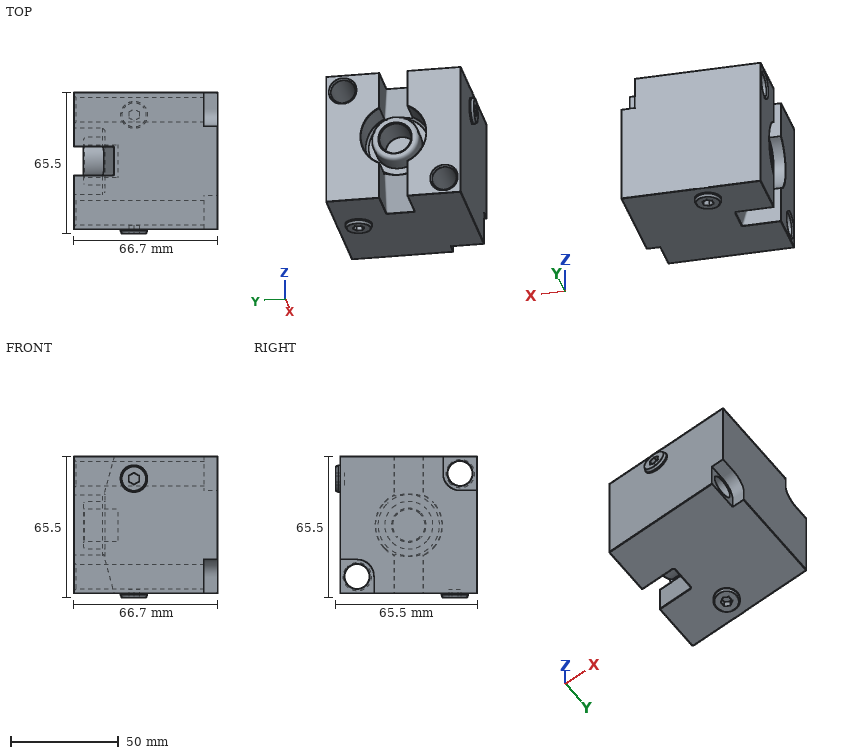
import cadquery as cq
import math

LENGTH = 66.67
SIDE = 63.5
HALF = SIDE / 2
EDGE_BEVEL = 0.2
OUTER_FACES = "<X or >X or <Y or >Y or <Z or >Z"

BORE_RADIUS = 15.4
BORE_DEPTH = 14.3
BORE_FLOOR_CHAMFER = 1.2
BOSS_RADIUS = 11.1
BOSS_TOP_X = 4.3
BOSS_FILLET = 1.5
BOSS_HOLE_RADIUS = 7.45
BOSS_HOLE_DEPTH = 16.0
BOSS_HOLE_CHAMFER = 0.5

SLOT_WIDTH = 13.2
SLOT_END_DEPTH = 18.6
SLOT_BORE_DEPTH = 13.9
SLOT_BORE_Z = 14.5
SLOT_FLOOR_FILLET = 0.8

MOUNT_INSET = 7.88
MOUNT_HOLE_RADIUS = 5.75
MOUNT_HOLE_CHAMFER = 0.8
NOTCH_RADIUS = 7.88
NOTCH_DEPTH = 6.5

PLUG_X = 27.8
PLUG_INSET = 10.3
PLUG_OFFSET = HALF - PLUG_INSET
PLUG_RADIUS = 10.7
PLUG_THICKNESS = EDGE_BEVEL
HEAD_RADIUS = 6.25
HEAD_HEIGHT = 2.03
HEAD_RIM_HEIGHT = 0.7
HEAD_TOP_RADIUS = 5.6
SOCKET_SIDES = 6
SOCKET_FLATS = 4.76
SOCKET_DEPTH = 4.0


def make_box():
    """The full rectangular envelope of the block."""
    return cq.Workplane("XY").box(LENGTH, SIDE, SIDE, centered=(False, True, True))


def cylinder_along_x(radius, start, end):
    """A cylinder on the bore axis between two x positions."""
    return cq.Workplane("YZ", origin=(start, 0, 0)).circle(radius).extrude(end - start)


def slot_cutter():
    """Slot whose floor runs from the bore outward and deeper to the top and bottom."""
    slope = (SLOT_END_DEPTH - SLOT_BORE_DEPTH) / (HALF - SLOT_BORE_Z)
    centre_depth = SLOT_BORE_DEPTH - slope * SLOT_BORE_Z

    halves = []
    for side in (1, -1):
        half_slot = (
            cq.Workplane("XZ", origin=(0, SLOT_WIDTH / 2, 0))
            .lineTo(centre_depth, 0)
            .lineTo(SLOT_END_DEPTH, side * HALF)
            .lineTo(0, side * HALF)
            .close()
            .extrude(SLOT_WIDTH)
            .edges("not(|X or |Y or |Z)")
            .fillet(SLOT_FLOOR_FILLET)
        )
        halves.append(half_slot)
    upper, lower = halves
    return upper.union(lower)


def bore_cutter():
    """Counterbore with a chamfered floor corner."""
    return cylinder_along_x(BORE_RADIUS, 0, BORE_DEPTH).faces(">X").chamfer(BORE_FLOOR_CHAMFER)


def make_boss():
    """Round boss on the counterbore floor, rounded at its free end."""
    root_x = BORE_DEPTH + BOSS_FILLET
    return cylinder_along_x(BOSS_RADIUS, BOSS_TOP_X, root_x).faces("<X").fillet(BOSS_FILLET)


def chamfered_hole_cutter(radius, chamfer, start, depth, y=0, z=0):
    """Hole running in +X from its chamfered mouth."""
    return (
        cq.Workplane("XY", origin=(start, y, z))
        .lineTo(0, radius + chamfer)
        .lineTo(chamfer, radius)
        .lineTo(depth, radius)
        .lineTo(depth, 0)
        .close()
        .revolve(360, (0, 0, 0), (1, 0, 0))
    )


def notch_cutter(corner):
    """Corner notch at the +X end; corner is +1 for +Y+Z and -1 for -Y-Z."""
    reach = MOUNT_INSET + NOTCH_RADIUS
    centre = corner * (HALF - reach / 2)
    inner_edge = "<Y and <Z" if corner > 0 else ">Y and >Z"
    return (
        cq.Workplane("YZ", origin=(LENGTH - NOTCH_DEPTH, centre, centre))
        .rect(reach, reach)
        .extrude(NOTCH_DEPTH)
        .edges("|X")
        .edges(inner_edge)
        .fillet(NOTCH_RADIUS)
    )


def plug_disc(face_plane):
    """Disc flush with the block face, trimmed where it overruns the block edge."""
    disc = cq.Workplane(face_plane).circle(PLUG_RADIUS).extrude(-PLUG_THICKNESS)
    return disc.intersect(make_box())


def screw_head(face_plane):
    """Protruding screw head: short cylindrical rim, then a taper to the flat top."""
    return (
        cq.Workplane(face_plane)
        .circle(HEAD_RADIUS)
        .extrude(HEAD_RIM_HEIGHT)
        .faces(cq.selectors.DirectionMinMaxSelector(face_plane.zDir))
        .workplane()
        .circle(HEAD_RADIUS)
        .workplane(offset=HEAD_HEIGHT - HEAD_RIM_HEIGHT)
        .circle(HEAD_TOP_RADIUS)
        .loft()
    )


def socket_cutter(face_plane):
    """Hexagon socket with two of its flats facing along X."""
    across_corners = SOCKET_FLATS / math.cos(math.pi / SOCKET_SIDES)
    quarter_turn = 90
    return (
        cq.Workplane(face_plane)
        .transformed(rotate=(0, 0, quarter_turn), offset=(0, 0, HEAD_HEIGHT))
        .polygon(SOCKET_SIDES, across_corners)
        .extrude(-SOCKET_DEPTH)
    )


result = make_box().cut(slot_cutter()).cut(bore_cutter())
result = result.faces(OUTER_FACES).edges().chamfer(EDGE_BEVEL)
result = result.union(make_boss())
result = result.cut(
    chamfered_hole_cutter(BOSS_HOLE_RADIUS, BOSS_HOLE_CHAMFER, BOSS_TOP_X, BOSS_HOLE_DEPTH)
)

for corner in (1, -1):
    hole_position = corner * (HALF - MOUNT_INSET)
    result = result.cut(
        chamfered_hole_cutter(
            MOUNT_HOLE_RADIUS, MOUNT_HOLE_CHAMFER, 0, LENGTH, hole_position, hole_position
        )
    )
    result = result.cut(notch_cutter(corner))

PLUG_PLANES = (
    cq.Plane(origin=(PLUG_X, -HALF, PLUG_OFFSET), xDir=(1, 0, 0), normal=(0, -1, 0)),
    cq.Plane(origin=(PLUG_X, PLUG_OFFSET, -HALF), xDir=(1, 0, 0), normal=(0, 0, -1)),
)
for plane in PLUG_PLANES:
    result = result.union(plug_disc(plane), clean=False)
    result = result.union(screw_head(plane), clean=False)
    result = result.cut(socket_cutter(plane), clean=False)